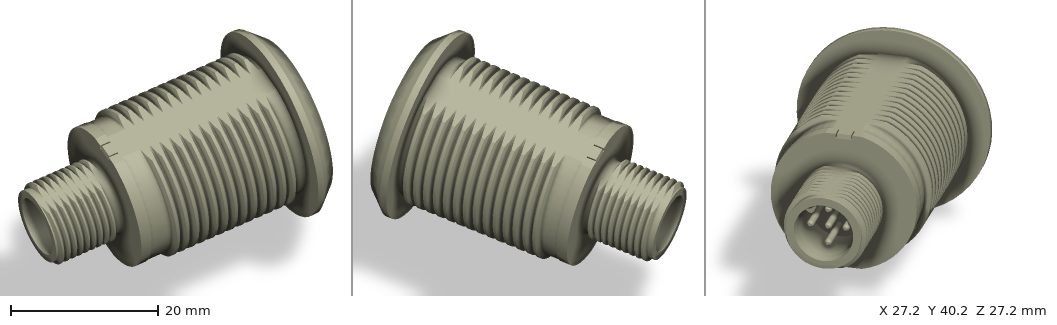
import cadquery as cq
import math


overall_length = 40.15
lip_height = 0.5
bevel_height = 2.53
rim_height = 1.0
head_height = lip_height + bevel_height + rim_height
plug_length = 10.48
body_length = overall_length - head_height - plug_length
shoulder_length = 1.6

head_radius = 27.25 / 2
bevel_top_radius = 11.35
lip_radius = 9.8
lip_chamfer = 0.2

body_root_radius = 10.15
body_crest_radius = 10.95
shoulder_radius = 10.28
body_flat_distance = 9.95

plug_root_radius = 5.3
plug_crest_radius = 5.9
plug_flat_distance = plug_root_radius
neck_fillet = 0.5

body_pitch = 19.55 / 13
body_thread_start = 1.1
body_thread_turns = 13.5
body_crest_width = 0.45
plug_pitch = 1.0
plug_thread_start = 0.9
plug_thread_turns = 9
plug_crest_width = 0.25
flank_angle = math.radians(30)
ridge_embed = 0.1
section_turns = 1.5

socket_radius = 4.18
socket_depth = 8.05
contact_recess = 2.1
contact_radius = 0.5
contact_tip_radius = 0.25
contact_tip_length = 0.35
contact_circle_radius = 2.5
key_radius = 0.55
key_center_distance = 3.37
key_angle = 45

tongue_width = 1.95
tongue_slit_width = 0.2
tongue_length = 1.5
tongue_depth = 0.65
tongue_bevel = 0.15


def cylinder(radius, start, length):
    return cq.Workplane("XY").workplane(offset=start).circle(radius).extrude(length)


def between_flats(distance):
    """Block spanning the whole part between two flats facing +X and -X."""
    return cq.Workplane("XY").box(2 * distance, 2 * head_radius, 2 * overall_length)


def thread_sections(root_radius, crest_radius, crest_width, pitch, start, turns):
    """Right-handed ridge starting on the +X side, as a list of equal sections end to end."""
    inner_radius = root_radius - ridge_embed
    half_crest = crest_width / 2
    half_base = half_crest + (crest_radius - inner_radius) * math.tan(flank_angle)
    helix = cq.Wire.makeHelix(pitch, pitch * section_turns, root_radius, cq.Vector(0, 0, start))
    section = (
        cq.Workplane("XZ")
        .polyline([
            (inner_radius, start - half_base),
            (crest_radius, start - half_crest),
            (crest_radius, start + half_crest),
            (inner_radius, start + half_base),
        ])
        .close()
        .sweep(cq.Workplane(helix), isFrenet=True)
    )
    section_count = round(turns / section_turns)
    return [
        section.rotate((0, 0, 0), (0, 0, 1), 360 * section_turns * index)
        .translate((0, 0, pitch * section_turns * index))
        for index in range(section_count)
    ]


def head():
    profile = cq.Workplane("XZ").polyline([
        (0, 0),
        (head_radius, 0),
        (head_radius, -rim_height),
        (bevel_top_radius, -rim_height - bevel_height),
        (lip_radius, -rim_height - bevel_height),
        (lip_radius, -head_height + lip_chamfer),
        (lip_radius - lip_chamfer, -head_height),
        (0, -head_height),
    ]).close()
    return profile.revolve(360, (0, 0, 0), (0, 1, 0))


def tongue_cut():
    """Two slits beside the tongue and the bevel across its end."""
    slit_offset = (tongue_width + tongue_slit_width) / 2
    slits = (
        cq.Workplane("XY")
        .pushPoints([(body_flat_distance, -slit_offset), (body_flat_distance, slit_offset)])
        .rect(2 * tongue_depth, tongue_slit_width)
        .extrude(tongue_length)
        .translate((0, 0, body_length - tongue_length))
    )
    bevel = (
        cq.Workplane("XZ")
        .moveTo(body_flat_distance, body_length - tongue_bevel)
        .lineTo(body_flat_distance, body_length)
        .lineTo(body_flat_distance - tongue_depth, body_length)
        .close()
        .extrude(tongue_width / 2, both=True)
    )
    return slits.union(bevel)


def body():
    core = cylinder(body_root_radius, 0, body_length)
    sections = thread_sections(body_root_radius, body_crest_radius, body_crest_width,
                               body_pitch, body_thread_start, body_thread_turns)
    threaded = cq.Workplane(core.val().fuse(*[section.val() for section in sections]))
    shoulder = cylinder(shoulder_radius, body_length - shoulder_length, shoulder_length)
    threaded = threaded.union(shoulder, clean=False)
    return threaded.intersect(between_flats(body_flat_distance)).cut(tongue_cut())


def plug():
    neck_radius = plug_root_radius + neck_fillet
    corner = neck_fillet * (1 - math.sqrt(0.5))
    core = (
        cq.Workplane("XZ")
        .moveTo(0, body_length)
        .lineTo(neck_radius, body_length)
        .threePointArc((plug_root_radius + corner, body_length + corner),
                       (plug_root_radius, body_length + neck_fillet))
        .lineTo(plug_root_radius, body_length + plug_length)
        .lineTo(0, body_length + plug_length)
        .close()
        .revolve(360, (0, 0, 0), (0, 1, 0))
    )
    sections = thread_sections(plug_root_radius, plug_crest_radius, plug_crest_width,
                               plug_pitch, body_length + plug_thread_start, plug_thread_turns)
    flats = between_flats(plug_flat_distance)
    return cq.Workplane(core.val().fuse(*[section.intersect(flats).val() for section in sections]))


def key(floor, height):
    """Round-nosed rib on the socket wall."""
    rib_length = socket_radius - key_center_distance + key_radius
    nose = cylinder(key_radius, 0, height).translate((key_center_distance, 0, 0))
    web = cq.Workplane("XY").box(rib_length, 2 * key_radius, height, centered=(False, True, False))
    rib = nose.union(web.translate((key_center_distance, 0, 0)))
    rib = rib.intersect(cylinder(plug_root_radius - key_radius, 0, height))
    return rib.rotate((0, 0, 0), (0, 0, 1), key_angle).translate((0, 0, floor))


def contact(floor, length):
    shank_length = length - contact_tip_length
    return (
        cq.Workplane("XZ")
        .polyline([
            (0, floor),
            (contact_radius, floor),
            (contact_radius, floor + shank_length),
            (contact_tip_radius, floor + length),
            (0, floor + length),
        ])
        .close()
        .revolve(360, (0, 0, 0), (0, 1, 0))
    )


mouth = body_length + plug_length
socket_floor = mouth - socket_depth
contact_length = socket_depth - contact_recess

part = head().union(body()).union(plug())
part = part.cut(cylinder(socket_radius, socket_floor, socket_depth))
part = part.union(key(socket_floor, contact_length))

center_contact = contact(socket_floor, contact_length)
part = part.union(center_contact)
for quarter in range(4):
    angle = quarter * math.pi / 2
    offset = (contact_circle_radius * math.cos(angle), contact_circle_radius * math.sin(angle), 0)
    part = part.union(center_contact.translate(offset))

placement = cq.Plane(origin=(0, 0, 0), xDir=(0, 0, 1), normal=(0, -1, 0))
result = cq.Workplane(part.val().moved(cq.Location(placement)))